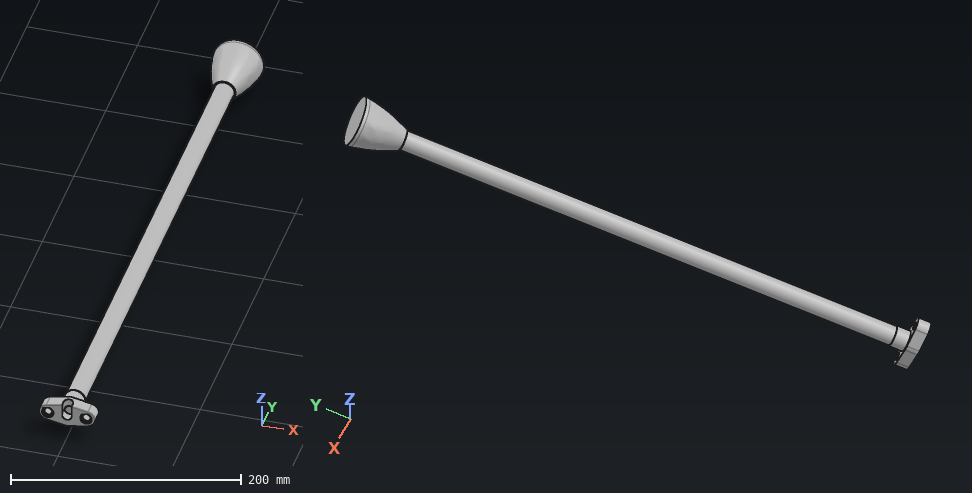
import cadquery as cq
import math

TOTAL_LENGTH = 542.0
FRONT_Y = -TOTAL_LENGTH / 2
BACK_Y = TOTAL_LENGTH / 2

BRACKET_WIDTH = 51.0
BRACKET_THICKNESS = 12.5
BRACKET_HUB_RADIUS = 11.5
BRACKET_END_RADIUS = 8.0
BRACKET_EDGE_FILLET = 0.5
SCREW_X = BRACKET_WIDTH / 2 - BRACKET_END_RADIUS
SCREW_HOLE_DIAMETER = 7.0
SCREW_HEAD_DIAMETER = 10.5
SCREW_HEAD_DEPTH = 2.0
CHANNEL_RADIUS = 4.5
CHANNEL_DEPTH = 8.5

COLLAR_LENGTH = 13.0
COLLAR_RADIUS = 10.0
ROD_RADIUS = 9.0

BELL_LENGTH = 45.5
BELL_RIM_DIAMETER = 46.0
BELL_RIM_RADIUS = BELL_RIM_DIAMETER / 2
BELL_RIM_LENGTH = 3.0
BELL_NECK_RADIUS = 10.5
BELL_BULGE = 1.5

BRACKET_BACK_Y = FRONT_Y + BRACKET_THICKNESS
COLLAR_BACK_Y = BRACKET_BACK_Y + COLLAR_LENGTH
BELL_NECK_Y = BACK_Y - BELL_LENGTH


def cylinder_along_y(radius, start_y, end_y, x=0.0):
    axis_start = cq.Vector(x, start_y, 0)
    along_y = cq.Vector(0, 1, 0)
    return cq.Workplane(cq.Solid.makeCylinder(radius, end_y - start_y, axis_start, along_y))


def bracket_plate():
    """Plate outlined by hub arcs, end arcs and lines tangent to both, with its front rim rounded."""
    tilt = math.asin((BRACKET_HUB_RADIUS - BRACKET_END_RADIUS) / SCREW_X)
    hub_x = BRACKET_HUB_RADIUS * math.sin(tilt)
    hub_z = BRACKET_HUB_RADIUS * math.cos(tilt)
    end_x = SCREW_X + BRACKET_END_RADIUS * math.sin(tilt)
    end_z = BRACKET_END_RADIUS * math.cos(tilt)
    return (
        cq.Workplane("XZ", origin=(0, FRONT_Y, 0))
        .moveTo(-hub_x, hub_z)
        .threePointArc((0, BRACKET_HUB_RADIUS), (hub_x, hub_z))
        .lineTo(end_x, end_z)
        .threePointArc((BRACKET_WIDTH / 2, 0), (end_x, -end_z))
        .lineTo(hub_x, -hub_z)
        .threePointArc((0, -BRACKET_HUB_RADIUS), (-hub_x, -hub_z))
        .lineTo(-end_x, -end_z)
        .threePointArc((-BRACKET_WIDTH / 2, 0), (-end_x, end_z))
        .close()
        .extrude(-BRACKET_THICKNESS)
        .faces("<Y")
        .edges()
        .fillet(BRACKET_EDGE_FILLET)
    )


def channel_cutter():
    """Round-backed channel open to the front and the top, ending in a round hole at mid height."""
    center_y = FRONT_Y + CHANNEL_DEPTH - CHANNEL_RADIUS
    slot = (
        cq.Workplane("XY")
        .moveTo(-CHANNEL_RADIUS, FRONT_Y)
        .lineTo(-CHANNEL_RADIUS, center_y)
        .threePointArc((0, FRONT_Y + CHANNEL_DEPTH), (CHANNEL_RADIUS, center_y))
        .lineTo(CHANNEL_RADIUS, FRONT_Y)
        .close()
        .extrude(BRACKET_HUB_RADIUS)
    )
    return slot.union(cylinder_along_y(CHANNEL_RADIUS, FRONT_Y, FRONT_Y + CHANNEL_DEPTH))


def make_bracket():
    body = bracket_plate().cut(channel_cutter())
    for x in (-SCREW_X, SCREW_X):
        body = body.cut(cylinder_along_y(SCREW_HOLE_DIAMETER / 2, FRONT_Y, BRACKET_BACK_Y, x))
        body = body.cut(cylinder_along_y(SCREW_HEAD_DIAMETER / 2, FRONT_Y, FRONT_Y + SCREW_HEAD_DEPTH, x))
    return body


def make_bell():
    rim_front_y = BACK_Y - BELL_RIM_LENGTH
    bulge_radius = (BELL_RIM_RADIUS + BELL_NECK_RADIUS) / 2 + BELL_BULGE
    bulge_y = (rim_front_y + BELL_NECK_Y) / 2
    return (
        cq.Workplane("XY")
        .moveTo(0, BACK_Y)
        .lineTo(BELL_RIM_RADIUS, BACK_Y)
        .lineTo(BELL_RIM_RADIUS, rim_front_y)
        .threePointArc((bulge_radius, bulge_y), (BELL_NECK_RADIUS, BELL_NECK_Y))
        .lineTo(0, BELL_NECK_Y)
        .close()
        .revolve(360, (0, 0, 0), (0, 1, 0))
    )


bracket = make_bracket()
collar = cylinder_along_y(COLLAR_RADIUS, BRACKET_BACK_Y, COLLAR_BACK_Y)
rod = cylinder_along_y(ROD_RADIUS, COLLAR_BACK_Y, BELL_NECK_Y)
bell = make_bell()

result = cq.Compound.makeCompound([bracket.val(), collar.val(), rod.val(), bell.val()])